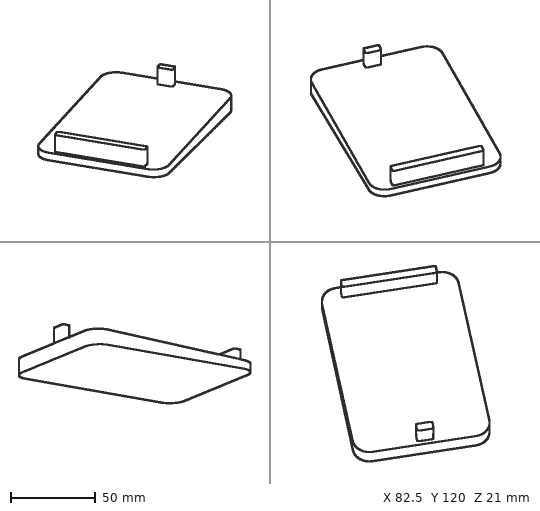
import cadquery as cq

plate_width = 82.5
plate_length = 120.0
corner_radius = 10.0
front_thickness = 5.0
back_thickness = 10.0

total_height = 21.0
post_height = total_height - back_thickness
post_depth = 5.0
post_corner_radius = 1.0
edge_margin = 2.5
front_post_width = 57.5
back_post_width = 10.0
back_post_offset = -1.3

post_y = plate_length / 2 - edge_margin - post_depth / 2


def make_plate():
    """Side profile extruded across the width, with rounded vertical corners."""
    front_y = -plate_length / 2
    back_y = plate_length / 2
    profile = [
        (front_y, 0),
        (back_y, 0),
        (back_y, -back_thickness),
        (front_y, -front_thickness),
    ]
    wedge = cq.Workplane("YZ").polyline(profile).close().extrude(plate_width / 2, both=True)
    return wedge.edges("|Z").fillet(corner_radius)


def make_post(width, x, y):
    """Upright post standing on the top face, with rounded vertical edges."""
    post = cq.Workplane("XY").box(width, post_depth, post_height, centered=(True, True, False))
    return post.edges("|Z").fillet(post_corner_radius).translate((x, y, 0))


front_post = make_post(front_post_width, 0, -post_y)
back_post = make_post(back_post_width, back_post_offset, post_y)

result = make_plate().union(front_post).union(back_post)